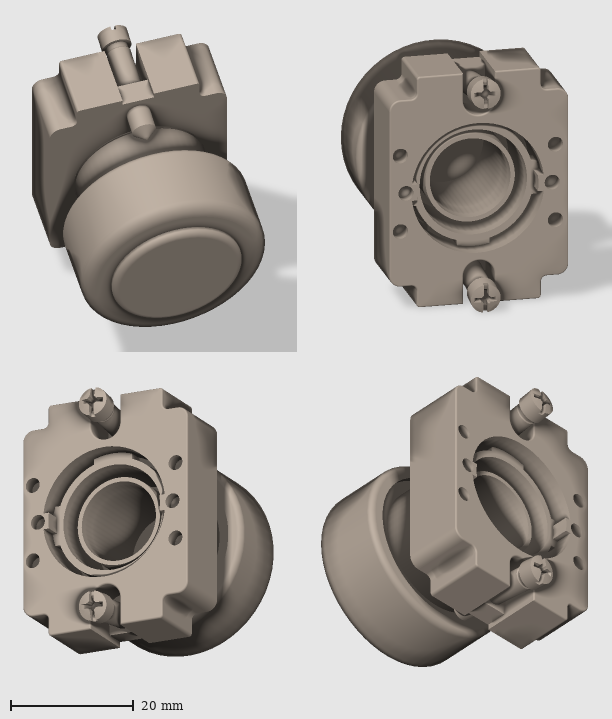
import cadquery as cq
import math

housing_length = 10.75
housing_width = 29.98
housing_height = 39.57
housing_offset_y = -0.2
shoulder_height = 31.98
neck_width = 20.8
side_corner_radius = 1.85
inner_corner_radius = 1.0
end_corner_radius = 0.5
front_fillet = 0.28

bore_diameter = 22.25
key_inner_diameter = 20.3
key_width = 2.7
key_length = 3.05

screw_slot_width = 5.3
screw_slot_bottom = 12.47
web_top = 18.8
web_front_at_top = 7.0

blind_hole_diameter = 2.5
blind_hole_depth = 2.4
corner_hole_spacing_y = 26.0
corner_hole_spacing_z = 12.95
drill_hole_spacing = 24.5
drill_hole_depth = 2.0
drill_point_angle = 118.0

catch_front = 6.0
catch_length = 3.0
catch_inner_diameter = 20.45
catch_spans = [
    (1, 5.88, bore_diameter),
    (1, -6.48, 0.0),
    (-1, -bore_diameter, -6.85),
    (-1, 0.0, 6.95),
]
lug_width_top = 6.9
lug_width_bottom = 5.48
lug_width_left = 6.75
lug_width_right = 5.65

hub_front = 3.15
hub_diameter = 20.3
hub_bore_diameter = 18.0
barrel_diameter = 22.0
barrel_cone_end = 11.05
tube_front = 5.35
tube_outer_diameter = 15.0
tube_inner_diameter = 13.5
tube_gap_end = 16.0
tube_bore_end = 24.0
cap_diameter = 31.2
cap_back = 19.03
cap_front = 32.0
cap_back_fillet = 1.0
cap_front_fillet = 2.0
cap_recess_diameter = 26.2
cap_recess_depth = 1.0
button_end = 33.45
button_fillet = 1.0

screw_tilt = 7.8
screw_tip_x = 15.95
screw_tip_z = 14.75
shank_diameter = 4.0
neck_diameter = 3.65
head_diameter = 5.0
tip_length = 1.85
head_back_to_tip = 17.95
neck_length = 0.88
neck_chamfer = 0.2
head_rim_length = 2.75
dome_height = 0.48
slot_width = 0.8
slot_depth = 1.2
cross_span_outer = 3.9
cross_span_inner = 1.68
cross_rim_depth = 0.35
cross_depth = 2.0

CUT_MARGIN = 0.4
ROOT_OVERLAP = 0.2


def cylinder_x(diameter, start, end):
    return cq.Workplane("YZ", origin=(start, 0, 0)).circle(diameter / 2).extrude(end - start)


def ring_x(outer_diameter, inner_diameter, start, end):
    return cylinder_x(outer_diameter, start, end).cut(cylinder_x(inner_diameter, start, end))


def box_between(x0, x1, y0, y1, z0, z1):
    return cq.Workplane("XY").box(x1 - x0, y1 - y0, z1 - z0, centered=False).translate((x0, y0, z0))


def screw_along_x():
    """Screw on the X axis with its tip at the origin and its head at negative X."""
    head_back = -head_back_to_tip
    neck_end = head_back + neck_length
    head_rim = head_back - head_rim_length
    apex = head_rim - dome_height
    head_radius = head_diameter / 2
    dome_radius = (head_radius**2 + dome_height**2) / (2 * dome_height)
    dome_mid_y = head_radius / 2
    dome_mid_x = apex + dome_radius - math.sqrt(dome_radius**2 - dome_mid_y**2)

    body = (
        cq.Workplane("XY")
        .moveTo(0, 0)
        .lineTo(-tip_length, shank_diameter / 2)
        .lineTo(neck_end + neck_chamfer, shank_diameter / 2)
        .lineTo(neck_end, neck_diameter / 2)
        .lineTo(head_back, neck_diameter / 2)
        .lineTo(head_back, head_radius)
        .lineTo(head_rim, head_radius)
        .threePointArc((dome_mid_x, dome_mid_y), (apex, 0))
        .close()
        .revolve(360, (0, 0, 0), (1, 0, 0))
    )

    slot = box_between(
        apex - CUT_MARGIN, apex + slot_depth,
        -slot_width / 2, slot_width / 2,
        -head_diameter, head_diameter,
    )
    wing = (
        cq.Workplane("XY")
        .polyline([
            (apex, -cross_span_outer / 2),
            (apex + cross_rim_depth, -cross_span_outer / 2),
            (apex + cross_depth, -cross_span_inner / 2),
            (apex + cross_depth, cross_span_inner / 2),
            (apex + cross_rim_depth, cross_span_outer / 2),
            (apex, cross_span_outer / 2),
        ])
        .close()
        .extrude(slot_width / 2, both=True)
    )
    pit = cylinder_x(cross_span_inner, apex, apex + cross_depth)
    body = body.cut(slot)
    body = body.cut(wing)
    body = body.cut(wing.rotate((0, 0, 0), (1, 0, 0), 90))
    return body.cut(pit)


def place_on_screw_axis(item, side):
    """Move an item from the X axis to the tilted screw axis; side is +1 above, -1 below."""
    placed = item.rotate((0, 0, 0), (0, 1, 0), screw_tilt)
    placed = placed.translate((screw_tip_x, housing_offset_y, screw_tip_z))
    return placed if side > 0 else placed.mirror("XY")


def housing_plate():
    wide = (
        cq.Workplane("YZ")
        .rect(housing_width, shoulder_height)
        .extrude(housing_length)
        .edges("|X").fillet(side_corner_radius)
    )
    tall = (
        cq.Workplane("YZ")
        .rect(neck_width, housing_height)
        .extrude(housing_length)
        .edges("|X").fillet(end_corner_radius)
    )
    inner_corners = cq.selectors.BoxSelector(
        (-CUT_MARGIN, -neck_width / 2 - CUT_MARGIN, -shoulder_height / 2 - CUT_MARGIN),
        (housing_length + CUT_MARGIN, neck_width / 2 + CUT_MARGIN, shoulder_height / 2 + CUT_MARGIN),
    )
    plate = wide.union(tall).edges("|X").edges(inner_corners).fillet(inner_corner_radius)
    return plate.translate((0, housing_offset_y, 0))


def screw_slot(side):
    """Open-ended slot with a rounded bottom and, at its back, a web square to the screw."""
    open_z = housing_height / 2 + CUT_MARGIN
    slot_radius = screw_slot_width / 2
    arc_z = screw_slot_bottom + slot_radius
    outline = (
        cq.Workplane("YZ")
        .moveTo(-slot_radius, open_z)
        .lineTo(-slot_radius, arc_z)
        .threePointArc((0, screw_slot_bottom), (slot_radius, arc_z))
        .lineTo(slot_radius, open_z)
        .close()
        .extrude(housing_length)
    )
    low_z = screw_slot_bottom - CUT_MARGIN
    web_front_at_low = web_front_at_top - (web_top - low_z) * math.tan(math.radians(screw_tilt))
    space_around_web = (
        cq.Workplane("XZ")
        .polyline([
            (0, low_z),
            (0, open_z),
            (housing_length, open_z),
            (housing_length, web_top),
            (web_front_at_top, web_top),
            (web_front_at_low, low_z),
        ])
        .close()
        .extrude(screw_slot_width, both=True)
    )
    slot = outline.intersect(space_around_web).translate((0, housing_offset_y, 0))
    return slot if side > 0 else slot.mirror("XY")


def bore_keys():
    """Pair of keys on the bore wall, rooted in the housing."""
    ring = ring_x(bore_diameter + 2 * ROOT_OVERLAP, key_inner_diameter, 0, key_length)
    band = box_between(0, key_length, -bore_diameter, bore_diameter, -key_width / 2, key_width / 2)
    return ring.intersect(band)


def bayonet_catches():
    """Four stretches of a ring inside the bore, behind the knob lugs."""
    catch_back = catch_front + catch_length
    ring = ring_x(bore_diameter + 2 * ROOT_OVERLAP, catch_inner_diameter, catch_front, catch_back)
    catches = []
    for side, y_start, y_end in catch_spans:
        z_low, z_high = sorted((0, side * bore_diameter))
        catches.append(ring.intersect(box_between(catch_front, catch_back, y_start, y_end, z_low, z_high)))
    return catches


def corner_holes():
    return (
        cq.Workplane("YZ")
        .rarray(corner_hole_spacing_y, corner_hole_spacing_z, 2, 2)
        .circle(blind_hole_diameter / 2)
        .extrude(blind_hole_depth)
    )


def pointed_hole():
    """Drilled hole on the X axis with a conical bottom."""
    hole_radius = blind_hole_diameter / 2
    point_depth = hole_radius / math.tan(math.radians(drill_point_angle / 2))
    return (
        cq.Workplane("XY")
        .polyline([
            (0, 0),
            (drill_hole_depth + point_depth, 0),
            (drill_hole_depth, hole_radius),
            (0, hole_radius),
        ])
        .close()
        .revolve(360, (0, 0, 0), (1, 0, 0))
    )


def make_housing():
    body = housing_plate()
    for side in (1, -1):
        body = body.cut(screw_slot(side))
    body = body.faces("<X").edges().fillet(front_fillet)
    body = body.cut(cylinder_x(bore_diameter, 0, housing_length))
    body = body.union(bore_keys())
    for catch in bayonet_catches():
        body = body.union(catch)
    body = body.cut(corner_holes())
    screw_hole = cylinder_x(shank_diameter, -head_back_to_tip, 0)
    for side in (1, -1):
        hole_y = housing_offset_y + side * drill_hole_spacing / 2
        body = body.cut(pointed_hole().translate((0, hole_y, 0)))
        body = body.cut(place_on_screw_axis(screw_hole, side))
    return body


def bayonet_lugs():
    """Four lugs around the front of the hub, each of a different width."""
    ring = ring_x(barrel_diameter, hub_diameter - 2 * ROOT_OVERLAP, hub_front, catch_front)
    reach = barrel_diameter
    spans = [
        (-lug_width_top / 2, lug_width_top / 2, 0, reach),
        (-lug_width_bottom / 2, lug_width_bottom / 2, -reach, 0),
        (0, reach, -lug_width_left / 2, lug_width_left / 2),
        (-reach, 0, -lug_width_right / 2, lug_width_right / 2),
    ]
    return [ring.intersect(box_between(hub_front, catch_front, *span)) for span in spans]


def make_knob():
    hub_radius = hub_diameter / 2
    barrel_radius = barrel_diameter / 2
    cone_start = barrel_cone_end - (barrel_radius - hub_radius)
    stem = (
        cq.Workplane("XY")
        .polyline([
            (hub_front, 0),
            (hub_front, hub_radius),
            (cone_start, hub_radius),
            (barrel_cone_end, barrel_radius),
            (cap_front, barrel_radius),
            (cap_front, 0),
        ])
        .close()
        .revolve(360, (0, 0, 0), (1, 0, 0))
    )
    cap = cylinder_x(cap_diameter, cap_back, cap_front)
    cap = cap.faces("<X").edges().fillet(cap_back_fillet)
    cap = cap.faces(">X").edges().fillet(cap_front_fillet)
    cap = cap.cut(cylinder_x(cap_recess_diameter, cap_back, cap_back + cap_recess_depth))
    button = cylinder_x(barrel_diameter, cap_front - CUT_MARGIN, button_end)
    button = button.faces(">X").edges().fillet(button_fillet)

    knob = stem.union(cap).union(button)
    for lug in bayonet_lugs():
        knob = knob.union(lug)
    knob = knob.cut(cylinder_x(hub_bore_diameter, hub_front, tube_front))
    knob = knob.cut(ring_x(hub_bore_diameter, tube_outer_diameter, tube_front, tube_gap_end))
    return knob.cut(cylinder_x(tube_inner_diameter, tube_front, tube_bore_end))


housing = make_housing()
knob = make_knob()
screws = [place_on_screw_axis(screw_along_x(), side) for side in (1, -1)]

result = cq.Compound.makeCompound([housing.val(), knob.val(), *[screw.val() for screw in screws]])